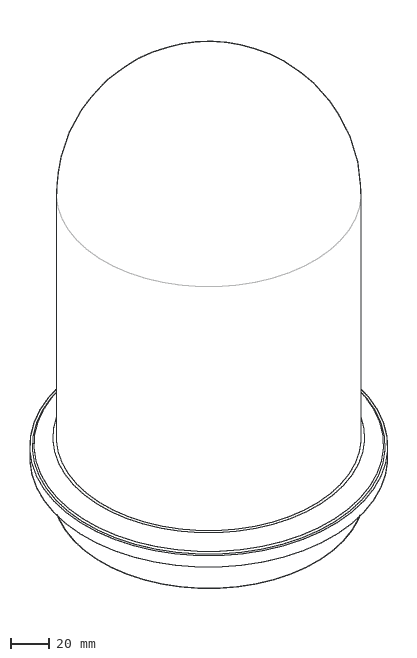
import cadquery as cq
import math

total_height = 279.2
dome_radius = 160.0 / 2
base_radius = 81.8
dome_start_height = total_height - dome_radius

collar_radius = 188.0 / 2
collar_bottom = 18.2
rim_bottom = 24.0
rim_top = 31.5
collar_top = 37.5

lip_width = 1.5
step_width = 0.8
step_height = 1.0
lip_inner_radius = collar_radius - lip_width

base_bevel = 0.5

dome_mid_offset = dome_radius * math.sqrt(0.5)
half_section = (
    cq.Workplane("XZ")
    .lineTo(base_radius - base_bevel, 0)
    .lineTo(base_radius, base_bevel)
    .lineTo(base_radius, collar_bottom)
    .lineTo(collar_radius, rim_bottom)
    .lineTo(collar_radius, rim_top)
    .lineTo(lip_inner_radius, rim_top)
    .lineTo(lip_inner_radius - step_width, rim_top + step_height)
    .lineTo(base_radius, collar_top)
    .lineTo(dome_radius, collar_top)
    .lineTo(dome_radius, dome_start_height)
    .threePointArc(
        (dome_mid_offset, dome_start_height + dome_mid_offset),
        (0, total_height),
    )
    .close()
)

result = half_section.revolve(360, (0, 0, 0), (0, 1, 0))